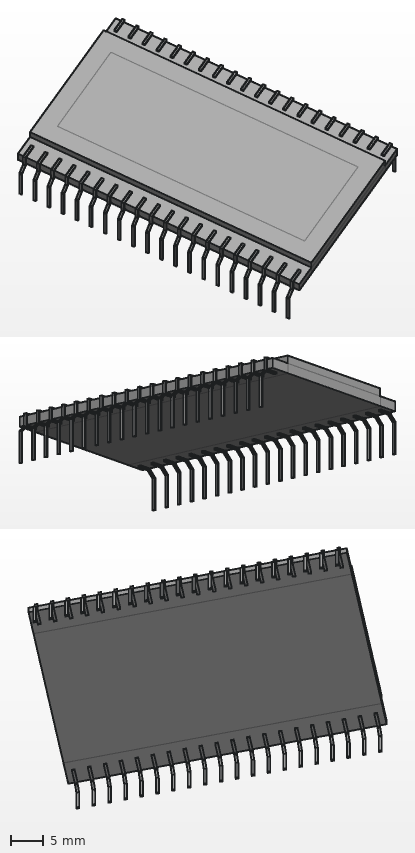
import cadquery as cq

length = 50.8
leg_span = 33.3
height = 9.35

front_width = 22.95
front_thickness = 1.25
back_width = 30.5
back_thickness = 1.65

window_length = 44.6
window_width = 16.65
window_thickness = front_thickness / 2

pins_per_row = 20
pin_pitch = 2.55
pin_width = 0.45
pin_thickness = 0.25
jaw_end_y = 12.95
bend_drop = 1.0

front_top = height
back_top = front_top - front_thickness
back_bottom = back_top - back_thickness
jaw_top = back_top + pin_thickness
jaw_bottom = back_bottom - pin_thickness
leg_top = jaw_bottom - bend_drop


def plate(plate_length, width, thickness, bottom):
    """Rectangular plate centred in X and Y, standing on the given level."""
    return (
        cq.Workplane("XY")
        .workplane(offset=bottom)
        .rect(plate_length, width)
        .extrude(thickness)
    )


def display_body():
    """Stacked glass plates; clean=False keeps the flush joints as face boundaries."""
    window = plate(window_length, window_width, window_thickness, front_top - window_thickness)
    front_plate = plate(length, front_width, front_thickness, back_top).cut(window)
    back_core = plate(length, front_width, back_thickness, back_bottom)
    body = back_core.union(front_plate, clean=False).union(window, clean=False)

    ledge_width = (back_width - front_width) / 2
    ledge_y = (front_width + ledge_width) / 2
    for side in (-1, 1):
        ledge = plate(length, ledge_width, back_thickness, back_bottom)
        body = body.union(ledge.translate((0, side * ledge_y, 0)), clean=False)
    return body


def pin(side):
    """One pin at X = 0: a C-shaped clip around the back plate edge and a joggled leg below it."""
    edge_y = back_width / 2
    clip_y = edge_y + pin_thickness
    leg_outer_y = leg_span / 2
    leg_inner_y = leg_outer_y - pin_thickness
    profile = [
        (jaw_end_y, jaw_top),
        (clip_y, jaw_top),
        (clip_y, jaw_bottom),
        (leg_outer_y, leg_top),
        (leg_outer_y, 0),
        (leg_inner_y, 0),
        (leg_inner_y, leg_top),
        (edge_y, jaw_bottom),
        (jaw_end_y, jaw_bottom),
        (jaw_end_y, back_bottom),
        (edge_y, back_bottom),
        (edge_y, back_top),
        (jaw_end_y, back_top),
    ]
    return (
        cq.Workplane("YZ")
        .polyline([(side * y, z) for y, z in profile])
        .close()
        .extrude(pin_width / 2, both=True)
    )


def pin_rows():
    """Both rows of pins, evenly spaced and centred along X."""
    first_x = -pin_pitch * (pins_per_row - 1) / 2
    pins = []
    for side in (-1, 1):
        for index in range(pins_per_row):
            pins.append(pin(side).val().translate(cq.Vector(first_x + index * pin_pitch, 0, 0)))
    return pins


result = cq.Workplane("XY").newObject([display_body().val().fuse(*pin_rows())])